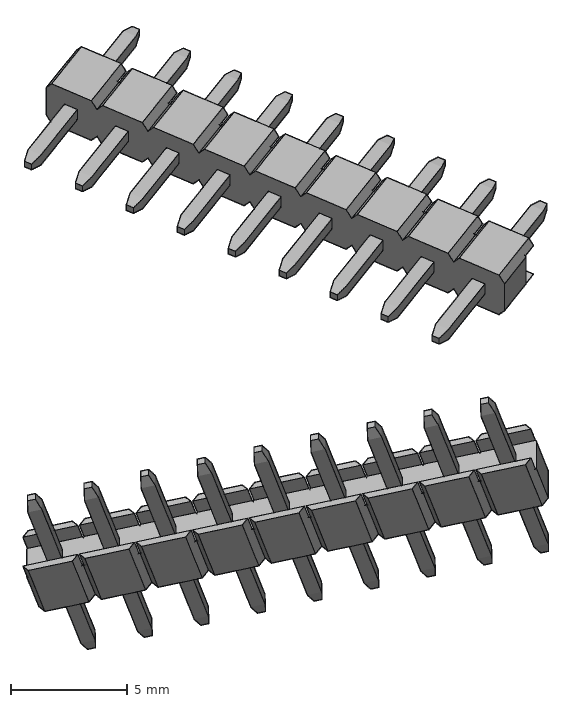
import cadquery as cq

pin_count = 9
pitch = 2.54

body_length = pin_count * pitch
body_height = 2.5
body_depth = 2.54
bevel_width = 0.28
bevel_height = 0.4
channel_depth = 0.7
flange_thickness = 0.35

pin_width = 0.64
pin_length = 9.2
rear_projection = 3.0
tip_length = 0.55
tip_width = 0.36
pin_offset = -0.03

body_rear = body_depth / 2
pin_rear = body_rear + rear_projection
pin_front = pin_rear - pin_length


def cell_center(index):
    return (index - (pin_count - 1) / 2) * pitch


def make_body():
    """Row of bevelled cells whose bevels meet in V notches between the pins."""
    half_pitch = pitch / 2
    half_height = body_height / 2
    flat_x = half_pitch - bevel_width
    shoulder_z = half_height - bevel_height

    upper_edge = []
    for index in range(pin_count):
        center = cell_center(index)
        upper_edge.append((center - half_pitch, shoulder_z))
        upper_edge.append((center - flat_x, half_height))
        upper_edge.append((center + flat_x, half_height))
    upper_edge.append((body_length / 2, shoulder_z))
    lower_edge = [(x, -z) for x, z in reversed(upper_edge)]

    return (
        cq.Workplane("XZ", origin=(0, body_rear, 0))
        .polyline(upper_edge + lower_edge)
        .close()
        .extrude(body_depth)
    )


def make_channel():
    """Groove along the whole rear face, leaving thin flanges above and below."""
    channel_height = body_height - 2 * flange_thickness
    channel = cq.Workplane("XY").box(body_length, channel_depth, channel_height)
    return channel.translate((0, body_rear - channel_depth / 2, 0))


def make_pin():
    """Square pin with a tapered tip at each end, centered on X = 0."""
    shank_rear = pin_rear - tip_length
    shank_front = pin_front + tip_length
    pin = (
        cq.Workplane("XZ", origin=(0, shank_rear, 0))
        .rect(pin_width, pin_width)
        .extrude(shank_rear - shank_front)
    )
    for base_y, end_y in ((shank_rear, pin_rear), (shank_front, pin_front)):
        tip = (
            cq.Workplane("XZ", origin=(0, base_y, 0))
            .rect(pin_width, pin_width)
            .workplane(offset=base_y - end_y)
            .rect(tip_width, tip_width)
            .loft(ruled=True)
        )
        pin = pin.union(tip)
    return pin


header = make_body().cut(make_channel())
single_pin = make_pin()
for index in range(pin_count):
    header = header.union(single_pin.translate((cell_center(index) + pin_offset, 0, 0)))

result = header